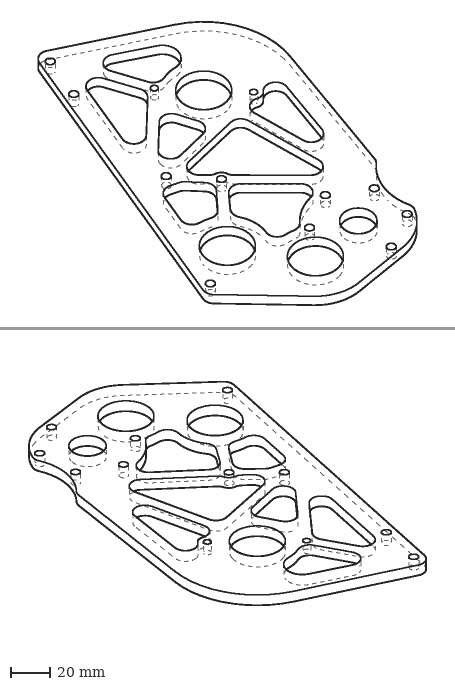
import cadquery as cq
import math

thickness = 6.4
outline_corner_radius = 6.4
pocket_corner_radius = 6.4

bearing_radius = 14.3
left_bearing = (62.0, 66.0)
right_bearing = (197.5, 62.5)
lower_bearing = (170.5, 25.7)
motor_pilot_radius = 9.5
motor = (183.7, 93.8)

left_rim_radius = 50.9
right_rim_radius = 29.5
bearing_wall_radius = 22.3
motor_rim_radius = 30.0

bottom_left = (-1.2, 0)
bottom_right = (198.0, 0)
top_slope = 3.2
scallop_center = (166.0, 148.5)
scallop_radius = 32.0

screw_radius = 2.5
small_screw_radius = 2.0
boss_radius = 5.0
motor_bolt_circle_radius = 25.5
motor_bolt_angles = (15, 75, 135, 195, 255)
boss_screw = (125.0, 45.0)
frame_screws = [(8.0, 5.5), (35.0, 5.5), (191.7, 5.5), (110.4, 20.7), boss_screw]
upper_small_screw = (74.5, 88.3)
lower_small_screw = (49.3, 44.3)

left_pocket_low = (14.3, 18.5)
left_pocket_lean = 79.5
left_pocket_diagonal_end = (54.5, 52.7)
left_pocket_top_radius = 9.5

pocket_floor = 13.0


def on_circle(center, radius, angle):
    """Point on a circle at an angle in degrees."""
    a = math.radians(angle)
    return (center[0] + radius * math.cos(a), center[1] + radius * math.sin(a))


def tangent_angle(point, center, radius, side):
    """Angle on the circle where a line from the point touches it; side is +1 or -1."""
    dx = point[0] - center[0]
    dy = point[1] - center[1]
    swing = math.acos(radius / math.hypot(dx, dy))
    return math.degrees(math.atan2(dy, dx) + side * swing)


def disc(center, radius):
    return cq.Workplane("XY").center(*center).circle(radius).extrude(thickness)


def round_corners(body, radius):
    """Shrink and regrow the profile, which rounds every outward corner."""
    core = body.faces("<Z").wires().val().offset2D(-radius)[0]
    profile = core.offset2D(radius)[0]
    return cq.Workplane("XY").add(profile).toPending().extrude(thickness)


def sharp_pocket(corners, kept_discs):
    """A polygon less the discs of material it must leave standing."""
    body = cq.Workplane("XY").polyline(corners).close().extrude(thickness)
    for center, radius in kept_discs:
        body = body.cut(disc(center, radius))
    return body


def pocket(corners, kept_discs=()):
    """Pocket cutter with rounded corners."""
    return round_corners(sharp_pocket(corners, kept_discs), pocket_corner_radius)


def left_pocket():
    """Pocket beside the left bearing, topped by one arc touching its left edge and the bearing wall."""
    edge_x = math.cos(math.radians(left_pocket_lean))
    edge_y = math.sin(math.radians(left_pocket_lean))
    from_x = left_bearing[0] - left_pocket_low[0]
    from_y = left_bearing[1] - left_pocket_low[1]
    along = from_x * edge_x + from_y * edge_y
    across = from_x * edge_y - from_y * edge_x - left_pocket_top_radius
    rise = along - math.sqrt((bearing_wall_radius + left_pocket_top_radius) ** 2 - across**2)
    edge_top = on_circle(left_pocket_low, rise, left_pocket_lean)
    top_center = on_circle(edge_top, left_pocket_top_radius, left_pocket_lean - 90)

    corners = [left_pocket_low, edge_top, top_center, left_bearing, left_pocket_diagonal_end]
    body = sharp_pocket(corners, [(left_bearing, bearing_wall_radius)])
    body = body.union(disc(top_center, left_pocket_top_radius))
    return round_corners(body, pocket_corner_radius)


def plate_blank():
    left_touch = tangent_angle(bottom_left, left_bearing, left_rim_radius, -1) % 360
    top_touch = 90 + top_slope
    right_touch = tangent_angle(bottom_right, right_bearing, right_rim_radius, 1)
    rim_dx = motor[0] - right_bearing[0]
    rim_dy = motor[1] - right_bearing[1]
    rim_swing = math.acos((motor_rim_radius - right_rim_radius) / math.hypot(rim_dx, rim_dy))
    rim_touch = math.degrees(math.atan2(rim_dy, rim_dx) - rim_swing)

    top_start = on_circle(left_bearing, left_rim_radius, top_touch)
    scallop_rise = (scallop_center[0] - top_start[0]) * math.tan(math.radians(top_slope))
    body = (
        cq.Workplane("XY")
        .moveTo(*bottom_left)
        .lineTo(*on_circle(left_bearing, left_rim_radius, left_touch))
        .threePointArc(on_circle(left_bearing, left_rim_radius, (left_touch + top_touch) / 2), top_start)
        .lineTo(scallop_center[0], top_start[1] + scallop_rise)
        .lineTo(*on_circle(motor, motor_rim_radius, 90))
        .threePointArc(
            on_circle(motor, motor_rim_radius, (90 + rim_touch) / 2),
            on_circle(motor, motor_rim_radius, rim_touch),
        )
        .lineTo(*on_circle(right_bearing, right_rim_radius, rim_touch))
        .threePointArc(
            on_circle(right_bearing, right_rim_radius, (rim_touch + right_touch) / 2),
            on_circle(right_bearing, right_rim_radius, right_touch),
        )
        .lineTo(*bottom_right)
        .close()
        .extrude(thickness)
    )
    return round_corners(body.cut(disc(scallop_center, scallop_radius)), outline_corner_radius)


pockets = [
    pocket([(64.7, 104.5), (148.5, 109.2), (83.8, 79.7)], [(upper_small_screw, boss_radius)]),
    pocket([(86.3, 73.8), (150.5, 103.0), (111.5, 25.0)], [(boss_screw, boss_radius)]),
    pocket(
        [(129.5, 46.3), (156.0, 99.7), motor, right_bearing, (164.9, 31.8)],
        [
            (motor, motor_rim_radius),
            (right_bearing, bearing_wall_radius),
            (lower_bearing, bearing_wall_radius),
        ],
    ),
    pocket([(87.0, 58.4), (109.5, 16.0), (64.5, 39.7)]),
    left_pocket(),
    pocket([(50.0, 40.2), (101.5, pocket_floor), (18.2, pocket_floor)]),
    pocket(
        [(117.6, pocket_floor), (117.6, 26.1), (126.3, 41.0), (154.5, 28.8), (154.5, pocket_floor)],
        [(lower_bearing, bearing_wall_radius)],
    ),
]

motor_screws = [on_circle(motor, motor_bolt_circle_radius, angle) for angle in motor_bolt_angles]
holes = [
    (bearing_radius, [left_bearing, right_bearing, lower_bearing]),
    (motor_pilot_radius, [motor]),
    (screw_radius, frame_screws + motor_screws),
    (small_screw_radius, [upper_small_screw, lower_small_screw]),
]

result = plate_blank()
for cutter in pockets:
    result = result.cut(cutter)
for radius, centers in holes:
    for center in centers:
        result = result.cut(disc(center, radius))